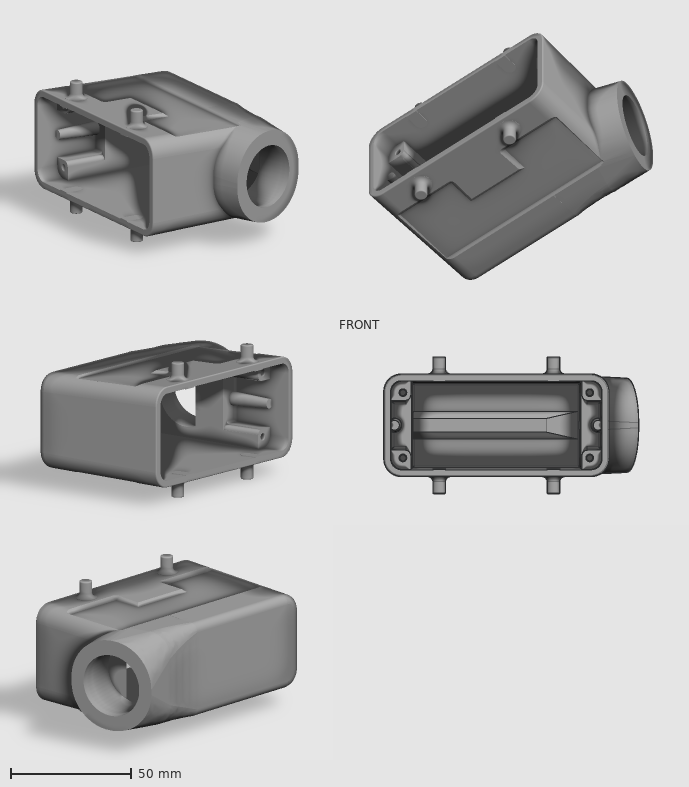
import cadquery as cq
import math


overall_length = 106.1
overall_depth = 70.1
overall_height = 57.0

shell_length = 93.7
shell_height = 42.8
shell_depth = 63.0
draft = 1.0
corner_radius = 7.4
top_fillet = 3.5
rim_fillet = 0.5
wall = 2.9
floor_depth = shell_depth - wall
cavity_length = shell_length - 2 * wall
cavity_height = shell_height - 2 * wall
cavity_corner_radius = 4.7

post_face_depth = 9.5
post_corner_radius = 1.9
central_pocket_length = 71.4
pocket_floor_fillet = 0.6
shelf_depth = 27.6
shelf_fillet = 1.1
shelf_pocket_height = 20.8
screw_x = 38.8
screw_z = 13.6
screw_hole_diameter = 2.5
screw_hole_depth = 14.9
screw_chamfer = 0.3

rib_face_depth = 8.8
rib_tip_radius = 2.0
rib_root_radius = 3.0
rib_axis_x = 42.3

ridge_base_width = 11.5
ridge_top_width = 5.7
ridge_height = 3.7
ridge_ramp_length = 12.8
ridge_end_x = 33.7

entry_angle = math.radians(16)
entry_width = 39.3
entry_height = 38.0
entry_corner_radius = 18.6
entry_bend_width = 40.8
entry_bend_end_radius = 10.1
entry_bend_radius = 65.8
entry_bend_steps = 4
entry_bore_radius = 13.3
entry_shoulder_y = 46.7
entry_exit_x = overall_length - shell_length / 2 - entry_height * math.sin(entry_angle)
entry_rise = overall_depth - shell_depth
entry_straight = (entry_rise - entry_bend_radius * (1 - math.cos(entry_angle))) / math.sin(entry_angle)
entry_bend_x = (
    entry_exit_x - entry_bend_radius * math.sin(entry_angle) - entry_straight * math.cos(entry_angle)
)

recess_half_height = 19.6
recess_wall_angle = 52.0
recess_length = 83.5
recess_bottom = 14.7
recess_top = 45.3
tab_root_width = 28.8
tab_top = 27.8

pin_spacing = 47.5
pin_y = 6.4
pin_radius = 2.7
pin_tip_fillet = 0.5
pin_root_fillet = 2.0
pin_pad_raise = 0.3


inward = cq.Vector(0, 1, 0)


def facing_y(y):
    """Workplane at depth y looking along +Y; its second axis runs along -Z."""
    return cq.Workplane(cq.Plane(origin=(0, y, 0), xDir=(1, 0, 0), normal=inward))


def on_both_sides(solid):
    return solid.union(solid.mirror("XY"))


def make_shell():
    block = facing_y(0).rect(shell_length, shell_height).extrude(shell_depth, taper=draft)
    block = block.edges("not(<Y or >Y)").fillet(corner_radius)
    block = block.faces(">Y").edges().fillet(top_fillet)
    return block.faces("<Y").edges().fillet(rim_fillet)


def entry_section(x, y, angle, width, upper_radius):
    """Rounded section of the cable entry whose top edge is at (x, y), square to its tilted axis."""
    along = cq.Vector(math.cos(angle), math.sin(angle), 0)
    up = cq.Vector(-math.sin(angle), math.cos(angle), 0)
    center = cq.Vector(x, y, 0) - up * (entry_height / 2)
    plane = cq.Plane(origin=center, xDir=up, normal=along)
    sketch = cq.Sketch().rect(entry_height, width)
    sketch = sketch.vertices(">X").fillet(upper_radius).reset()
    sketch = sketch.vertices("<X").fillet(entry_corner_radius)
    return sketch.moved(cq.Location(plane))


def make_entry_clearance():
    """Block removing the square shoulder of the shell where the entry takes its place."""
    return (
        cq.Workplane("XY")
        .moveTo(entry_bend_x, entry_shoulder_y)
        .lineTo(shell_length / 2, entry_shoulder_y)
        .lineTo(shell_length / 2, shell_depth)
        .lineTo(entry_bend_x, shell_depth)
        .close()
        .extrude(shell_height, both=True)
    )


def make_entry():
    """Tube that bends away from the shell, its upper corners growing rounder towards the exit."""
    sections = []
    for step in range(entry_bend_steps + 1):
        share = step / entry_bend_steps
        angle = share * entry_angle
        x = entry_bend_x + entry_bend_radius * math.sin(angle)
        y = shell_depth + entry_bend_radius * (1 - math.cos(angle))
        radius = top_fillet + share * (entry_bend_end_radius - top_fillet)
        sections.append(entry_section(x, y, angle, entry_bend_width, radius))
    bend = cq.Workplane().placeSketch(*sections).loft()
    end = entry_section(entry_exit_x, overall_depth, entry_angle, entry_width, entry_corner_radius)
    straight = cq.Workplane().placeSketch(sections[-1], end).loft()
    return bend.union(straight)


def make_entry_bore():
    """Cable bore along the entry axis, from the exit face to the end of the ridge."""
    up = cq.Vector(-math.sin(entry_angle), math.cos(entry_angle), 0)
    back = cq.Vector(-math.cos(entry_angle), -math.sin(entry_angle), 0)
    center = cq.Vector(entry_exit_x, overall_depth, 0) - up * (entry_height / 2)
    length = (center.x - ridge_end_x) / math.cos(entry_angle)
    return cq.Workplane(obj=cq.Solid.makeCylinder(entry_bore_radius, length, center, back))


def make_shelf_pocket(side):
    """Pocket between the two posts at one end, flaring round the inner corners of the posts."""
    half = shelf_pocket_height / 2
    flare = half + post_corner_radius
    post_x = side * central_pocket_length / 2
    arc_x = post_x + side * post_corner_radius
    mid_x = arc_x - side * post_corner_radius * math.sqrt(0.5)
    mid_z = flare - post_corner_radius * math.sqrt(0.5)
    slot = facing_y(0).rect(cavity_length, shelf_pocket_height).extrude(shelf_depth, taper=draft)
    slot = slot.faces(">Y").edges().fillet(shelf_fillet)
    flared_end = (
        facing_y(0)
        .moveTo(arc_x, half)
        .threePointArc((mid_x, mid_z), (post_x, flare))
        .lineTo(0, flare)
        .lineTo(0, -flare)
        .lineTo(post_x, -flare)
        .threePointArc((mid_x, -mid_z), (arc_x, -half))
        .close()
        .extrude(shelf_depth)
    )
    return slot.union(flared_end)


def make_cavity():
    """Mouth, central pocket, and a pocket between the posts at each end."""
    full = facing_y(0).rect(cavity_length, cavity_height).extrude(floor_depth, taper=draft)
    full = full.edges("not(<Y or >Y)").fillet(cavity_corner_radius)
    mouth = full.intersect(facing_y(0).rect(cavity_length, cavity_height).extrude(post_face_depth))
    shelf_pockets = make_shelf_pocket(1).union(make_shelf_pocket(-1)).intersect(full)
    central = facing_y(0).rect(central_pocket_length, cavity_height).extrude(floor_depth, taper=draft)
    central = central.faces(">Y").edges().fillet(pocket_floor_fillet)
    return central.union(mouth).union(shelf_pockets)


def make_ridge():
    slope_run = (ridge_base_width - ridge_top_width) / 2
    left = -central_pocket_length / 2
    top_y = floor_depth - ridge_height
    ridge = (
        cq.Workplane("YZ", origin=(left, 0, 0))
        .moveTo(shell_depth - wall / 2, ridge_base_width / 2)
        .lineTo(floor_depth, ridge_base_width / 2)
        .lineTo(top_y, ridge_base_width / 2 - slope_run)
        .lineTo(top_y, slope_run - ridge_base_width / 2)
        .lineTo(floor_depth, -ridge_base_width / 2)
        .lineTo(shell_depth - wall / 2, -ridge_base_width / 2)
        .close()
        .extrude(ridge_end_x - left)
    )
    ramp = (
        cq.Workplane("XY")
        .moveTo(ridge_end_x - ridge_ramp_length, top_y)
        .lineTo(ridge_end_x, top_y)
        .lineTo(ridge_end_x, floor_depth)
        .close()
        .extrude(ridge_base_width, both=True)
    )
    return ridge.cut(ramp)


def make_rib(side):
    length = shelf_depth - rib_face_depth
    tip = cq.Vector(side * rib_axis_x, rib_face_depth, 0)
    cone = cq.Solid.makeCone(rib_tip_radius, rib_root_radius, length, tip, inward)
    inside = cq.Workplane("XY").box(shell_length - wall, 2 * shell_depth, cavity_height)
    return inside.intersect(cq.Workplane(obj=cone))


def make_screw_holes():
    points = [(x, z) for x in (-screw_x, screw_x) for z in (-screw_z, screw_z)]
    radius = screw_hole_diameter / 2
    holes = facing_y(post_face_depth).pushPoints(points).circle(radius).extrude(screw_hole_depth)
    for x, z in points:
        rim = cq.Vector(x, post_face_depth, z)
        sink = cq.Solid.makeCone(radius + screw_chamfer, radius, screw_chamfer, rim, inward)
        holes = holes.union(cq.Workplane(obj=sink))
    return holes


def make_recess():
    """Sloped-wall recess on the +Z side, stepping around the raised tab."""
    half = recess_length / 2
    half_tab = tab_root_width / 2
    return (
        cq.Workplane("XY", origin=(0, 0, recess_half_height))
        .moveTo(-half, recess_bottom)
        .lineTo(-half_tab, recess_bottom)
        .lineTo(-half_tab, tab_top)
        .lineTo(half_tab, tab_top)
        .lineTo(half_tab, recess_bottom)
        .lineTo(half, recess_bottom)
        .lineTo(half, recess_top)
        .lineTo(-half, recess_top)
        .close()
        .extrude(shell_height / 2 - recess_half_height, taper=-recess_wall_angle)
    )


def make_pin(x):
    """Pin with a flared root and a rounded tip, standing on the +Z side."""
    root = cavity_height / 2
    seat = shell_height / 2
    tip = overall_height / 2
    flare = pin_radius + pin_root_fillet
    bulge = pin_root_fillet * (1 - math.sqrt(0.5))
    return (
        cq.Workplane("XZ", origin=(x, pin_y, 0))
        .moveTo(0, root)
        .lineTo(flare, root)
        .lineTo(flare, seat)
        .threePointArc((pin_radius + bulge, seat + bulge), (pin_radius, seat + pin_root_fillet))
        .lineTo(pin_radius, tip)
        .lineTo(0, tip)
        .close()
        .revolve(360, (0, 0, 0), (0, 1, 0))
        .faces(">Z")
        .edges()
        .fillet(pin_tip_fillet)
    )


def make_pin_pad(x):
    """Flat round-ended pad behind a pin on the inner wall, running out to the mouth."""
    inner = cavity_height / 2 - pin_pad_raise
    return (
        cq.Workplane("XY", origin=(x, 0, inner))
        .moveTo(-pin_radius, 0)
        .lineTo(pin_radius, 0)
        .lineTo(pin_radius, pin_y)
        .threePointArc((0, pin_y + pin_radius), (-pin_radius, pin_y))
        .close()
        .extrude(wall / 2)
    )


result = make_shell().cut(make_entry_clearance()).union(make_entry())
result = result.cut(on_both_sides(make_recess()))
for x in (-pin_spacing / 2, pin_spacing / 2):
    result = result.union(on_both_sides(make_pin(x)))
result = result.cut(make_cavity()).cut(make_entry_bore()).union(make_ridge())
for side in (-1, 1):
    result = result.union(make_rib(side))
    result = result.union(on_both_sides(make_pin_pad(side * pin_spacing / 2)))
result = result.cut(make_screw_holes())